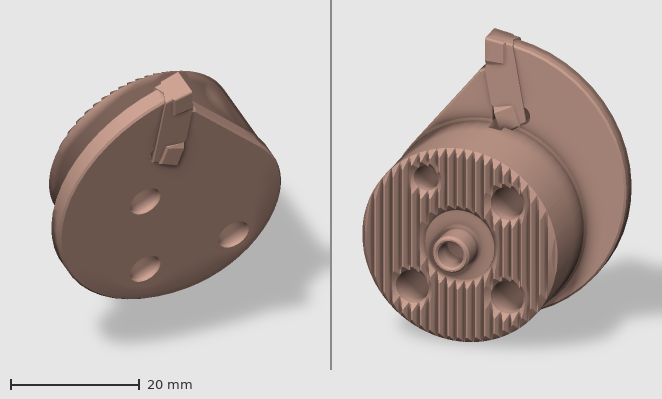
import cadquery as cq
import math


drum_radius = 16.0
tooth_height = 1.2
outer_teeth_span = 29.95
teeth_per_side = 10
tooth_pitch = outer_teeth_span / (2 * teeth_per_side)
tooth_tip_width = 0.25
tooth_valley_width = 0.15
face_bevel_width = 1.1
hole_bevel_width = 1.0

bolt_hole_radius = 2.7
bolt_offset = 7.75
bolt_centres = [(bolt_offset, bolt_offset), (bolt_offset, -bolt_offset), (-bolt_offset, -bolt_offset)]
dowel_hole_radius = 2.05
dowel_hole_depth = 6.95
dowel_centre = (-5.5, 10.45)

blade_front = 13.35
blade_thickness = 3.15
blade_back = blade_front + blade_thickness
blade_small_radius = 16.3
blade_large_radius = 22.8
blade_large_centre = blade_large_radius - blade_small_radius
blade_bevel = 0.32
jaw_corner = (-1.3, 24.1)
jaw_tip = (-0.25, 24.65)
jaw_inner_p = 1.4
collar_length = 0.35
collar_radius = drum_radius + collar_length
nozzle_radius = 0.55
nozzle_depth = 1.85
nozzle_offset = -0.55

insert_tilt = 10.0
insert_half_length = 8.05
insert_width = 5.23
insert_core_thickness = 4.0
insert_mid_x = 15.0
edge_p = -0.025
edge_height = 46.25 - blade_small_radius
edge_v = 1.1
rake_length = 4.6
rake_root_v = edge_v - rake_length * math.tan(math.radians(insert_tilt))
rake_root_u = insert_half_length - rake_length
ramp_height = 0.6
end_slope_drop = 1.55
rail_depth = 0.55
head_thickness = 5.0
head_rear_thickness = 4.7
head_depth = 3.25
head_rear_bevel = 0.32
head_foot_bevel = 0.85
head_foot_rise = 0.4
end_edge_round = 0.35

pocket_start = 12.0
pocket_top_u = 11.1
pocket_wall_u = -3.7
pocket_wall_foot = (-0.32, -5.85)
relief_start_u = -3.95
relief_middle = (5.95, -5.4)
relief_end_v = 4.1
notch_start = 10.45
notch_profile = [(1.0, 17.1), (1.0, 16.0), (2.25, 14.55), (4.62, 17.1)]

spigot_tip = -4.95
spigot_radius = 3.0
spigot_tip_bevel = (0.55, 0.32)
spigot_root_round = 0.55
flange_radius = 5.7
flange_thickness = 2.3
flange_seat_bevel = 0.25
bore_radius = 2.1
bore_bevel = 0.32
bore_depth = 5.1
drill_half_angle = 59.0


def side_plane(x):
    """Plane at X = x for (p, q) profiles; extrusion runs toward -X."""
    return cq.Workplane(cq.Plane(origin=(x, 0, 0), xDir=(0, -1, 0), normal=(-1, 0, 0)))


def round_bar(x_start, x_end, radius, centre=(0, 0)):
    return side_plane(x_end).center(*centre).circle(radius).extrude(x_end - x_start)


def cone(x_start, x_end, radius_start, radius_end, centre=(0, 0)):
    """Solid frustum along X."""
    return (
        cq.Workplane("XY")
        .polyline([(x_start, 0), (x_start, radius_start), (x_end, radius_end), (x_end, 0)])
        .close()
        .revolve(360, (0, 0, 0), (1, 0, 0))
        .translate((0, -centre[0], centre[1]))
    )


def tooth_bevel(radius, centre=(0, 0)):
    """Cone that opens a round hole outward through the height of the teeth."""
    return cone(-tooth_height, 0, radius + hole_bevel_width, radius, centre)



tilt = math.radians(insert_tilt)
insert_origin_p = edge_p - edge_v * math.cos(tilt) + insert_half_length * math.sin(tilt)
insert_origin_q = edge_height - edge_v * math.sin(tilt) - insert_half_length * math.cos(tilt)


def insert_location(x):
    """Frame with v across, u along and its third axis toward -X."""
    return cq.Plane(
        origin=(x, -insert_origin_p, insert_origin_q),
        xDir=(0, -math.cos(tilt), math.sin(tilt)),
        normal=(-1, 0, 0),
    ).location


def rail(length, u_start):
    """V-shaped rail along the seat side of the insert."""
    half = blade_thickness / 2
    return (
        cq.Workplane("XZ", origin=(0, u_start, 0))
        .polyline([(insert_width, -half), (insert_width - rail_depth, 0), (insert_width, half)])
        .close()
        .extrude(-length)
    )


def mirrored_prism(workplane, half_profile, length):
    """Prism whose profile is symmetric about the insert's middle plane."""
    other_half = [(along, -across) for along, across in reversed(half_profile)]
    return workplane.polyline(half_profile + other_half).close().extrude(length)


def round_end(body, end_normal):
    """Rounds the flank edges of the flat end that faces end_normal."""
    end = body.faces(cq.selectors.DirectionMinMaxSelector(end_normal))
    return end.edges(">Z or <Z").fillet(end_edge_round)


def insert_core():
    end_u = insert_half_length - end_slope_drop
    upper = [
        (0, rake_root_u - ramp_height),
        (rake_root_v, rake_root_u),
        (edge_v, insert_half_length),
        (insert_width, end_u),
    ]
    lower = [(v, -u) for v, u in reversed(upper)]
    core = (
        cq.Workplane("XY", origin=(0, 0, -insert_core_thickness / 2))
        .polyline(upper + lower)
        .close()
        .extrude(insert_core_thickness)
    )
    for side in (1, -1):
        core = round_end(core, cq.Vector(end_slope_drop, side * (insert_width - edge_v), 0))
    return core.cut(rail(2 * insert_half_length, -insert_half_length))


def insert_head():
    """Widened cutting end, drawn from its cutting edge with the rake face upright, then tilted.

    Three crossing prisms give the side shape, the flanks that narrow rearward and the bevelled foot.
    """
    half_front = head_thickness / 2
    half_rear = head_rear_thickness / 2
    half_core = insert_core_thickness / 2
    end_slope = math.tan(math.atan2(end_slope_drop, insert_width - edge_v) - tilt)
    flank_depth = head_depth - head_rear_bevel
    side = (
        cq.Workplane("XY", origin=(0, 0, -half_front))
        .polyline(
            [
                (0, 0),
                (head_depth, -end_slope * head_depth),
                (head_depth, head_foot_rise - rake_length),
                (0, -rake_length),
            ]
        )
        .close()
        .extrude(head_thickness)
    )
    flanks = mirrored_prism(
        cq.Workplane("XZ"), [(0, half_front), (flank_depth, half_rear), (head_depth, half_core)], rake_length
    )
    foot = mirrored_prism(
        cq.Workplane("YZ"),
        [(-rake_length, half_core), (head_foot_bevel - rake_length, half_front), (0, half_front)],
        head_depth,
    )
    head = side.intersect(flanks).intersect(foot)
    head = round_end(head, cq.Vector(end_slope, 1, 0))
    return head.rotate((0, 0, 0), (0, 0, 1), -insert_tilt).translate((edge_v, insert_half_length, 0))


def make_insert():
    head = insert_head()
    insert = insert_core().union(head).union(head.mirror("XZ"))
    return insert.val().moved(insert_location(insert_mid_x))




def tooth_gaps():
    """V-shaped gaps that run along Z between neighbouring teeth."""
    half_mouth = (tooth_pitch - tooth_tip_width) / 2
    half_valley = tooth_valley_width / 2
    gap = (
        cq.Workplane("XY", origin=(0, 0, -drum_radius))
        .polyline(
            [(-tooth_height, -half_mouth), (0, -half_valley), (0, half_valley), (-tooth_height, half_mouth)]
        )
        .close()
        .extrude(2 * drum_radius)
    )
    gaps = cq.Workplane("XY")
    for i in range(-teeth_per_side - 1, teeth_per_side + 1):
        gaps.add(gap.translate((0, (i + 0.5) * tooth_pitch, 0)))
    return gaps.combine()


def serrated_drum():
    face = cone(-tooth_height, 0, drum_radius - face_bevel_width, drum_radius)
    return round_bar(0, blade_front, drum_radius).union(face).cut(tooth_gaps())


def blade_outline():
    corner_angle = math.atan2(jaw_corner[1], jaw_corner[0])
    tangent_angle = corner_angle + math.acos(blade_small_radius / math.hypot(*jaw_corner))
    arc_start_q = blade_large_centre + math.sqrt(blade_large_radius**2 - jaw_inner_p**2)
    middle_angle = (tangent_angle + 1.5 * math.pi) / 2

    def on_small_round(angle):
        return (blade_small_radius * math.cos(angle), blade_small_radius * math.sin(angle))

    return (
        side_plane(blade_back)
        .moveTo(*jaw_tip)
        .lineTo(jaw_inner_p, jaw_tip[1])
        .lineTo(jaw_inner_p, arc_start_q)
        .threePointArc((blade_large_radius, blade_large_centre), (0, -blade_small_radius))
        .threePointArc(on_small_round(middle_angle), on_small_round(tangent_angle))
        .lineTo(*jaw_corner)
        .close()
    )


def blade():
    plate = blade_outline().extrude(blade_thickness)
    return plate.faces("<X or >X").edges().chamfer(blade_bevel)


def collar():
    """Flare where the drum meets the blade, kept inside the bevelled rim of the blade."""
    flare = cone(blade_front - collar_length, blade_front, drum_radius, collar_radius)
    inside_rim = blade_outline().offset2D(-blade_bevel).extrude(blade_thickness + collar_length)
    return flare.intersect(inside_rim)


def insert_pocket():
    floor_tip = (edge_v, -insert_half_length)
    floor_slope = end_slope_drop / (insert_width - edge_v)
    relief_end = (relief_end_v, floor_tip[1] + floor_slope * (relief_end_v - edge_v))
    length = blade_back - pocket_start
    pocket = (
        cq.Workplane("XY")
        .moveTo(0, pocket_top_u)
        .lineTo(0, pocket_wall_u)
        .lineTo(*pocket_wall_foot)
        .lineTo(*floor_tip)
        .lineTo(*relief_end)
        .threePointArc(relief_middle, (insert_width, relief_start_u))
        .lineTo(insert_width, pocket_top_u)
        .close()
        .extrude(length)
    )
    rail_middle = blade_back - insert_mid_x
    seat_rail = rail(pocket_top_u - relief_start_u, relief_start_u).translate((0, 0, rail_middle))
    return cq.Workplane(pocket.cut(seat_rail).val().moved(insert_location(blade_back)))


def chip_notch():
    return side_plane(blade_front).polyline(notch_profile).close().extrude(blade_front - notch_start)


def nozzle():
    """Blind upright bore in the jaw tip, beside the insert."""
    mouth = ((blade_front + blade_back) / 2, -nozzle_offset, jaw_tip[1])
    return cq.Workplane("XY").circle(nozzle_radius).extrude(nozzle_depth, both=True).translate(mouth)


def make_holder():
    holder = serrated_drum().union(blade()).union(collar())
    for centre in bolt_centres:
        holder = holder.cut(round_bar(-tooth_height, blade_back, bolt_hole_radius, centre))
        holder = holder.cut(tooth_bevel(bolt_hole_radius, centre))
    holder = holder.cut(round_bar(-tooth_height, dowel_hole_depth, dowel_hole_radius, dowel_centre))
    holder = holder.cut(tooth_bevel(dowel_hole_radius, dowel_centre))

    seat_mouth = flange_radius + flange_seat_bevel
    holder = holder.cut(round_bar(-tooth_height, flange_thickness, flange_radius))
    holder = holder.cut(cone(0, flange_seat_bevel, seat_mouth, flange_radius))
    holder = holder.cut(tooth_bevel(seat_mouth))
    return holder.cut(insert_pocket()).cut(chip_notch()).cut(nozzle())




def make_spigot():
    """Turned spigot on a flange, with a blind drilled bore."""
    bevel_length, bevel_height = spigot_tip_bevel
    bore_end = spigot_tip + bore_depth
    cone_end = bore_end + bore_radius / math.tan(math.radians(drill_half_angle))
    round_centre = spigot_radius + spigot_root_round
    round_reach = spigot_root_round * math.sqrt(0.5)
    return (
        cq.Workplane("XY")
        .moveTo(cone_end, 0)
        .lineTo(bore_end, bore_radius)
        .lineTo(spigot_tip + bore_bevel, bore_radius)
        .lineTo(spigot_tip, bore_radius + bore_bevel)
        .lineTo(spigot_tip, spigot_radius - bevel_height)
        .lineTo(spigot_tip + bevel_length, spigot_radius)
        .lineTo(-spigot_root_round, spigot_radius)
        .threePointArc((-spigot_root_round + round_reach, round_centre - round_reach), (0, round_centre))
        .lineTo(0, flange_radius)
        .lineTo(flange_thickness, flange_radius)
        .lineTo(flange_thickness, 0)
        .close()
        .revolve(360, (0, 0, 0), (1, 0, 0))
    )


holder = make_holder()
insert = make_insert()
spigot = make_spigot()
result = cq.Compound.makeCompound([holder.val(), insert, spigot.val()])